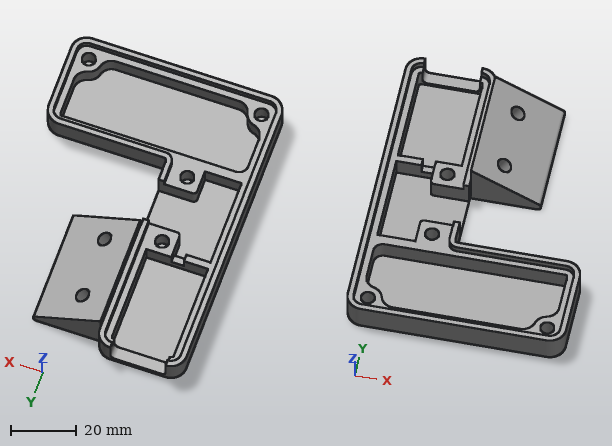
import cadquery as cq
import math

length = 96.3
foot_length = 68.0
arm_width = 28.0
foot_width = 30.5
tray_height = 10.0
corner_radius = 5.0
inner_corner_radius = 1.0
bottom_fillet = 2.0

rim_width = 1.8
ledge_z = 8.0
floor_z = 2.0
wall = 4.0
open_above = tray_height + 1.0

end_bottom_y = 60.5
end_corner_radius = 0.8
middle_top_y = 58.2
middle_bottom_y = 29.9
boss_left_x = 15.9
opening_top_y = 52.0
opening_bottom_y = 38.0
boss_corner_radius = 1.2

passage_left_x = 11.8
passage_z = 4.6

end_slot_width = 17.8
end_slot_z = 3.0
end_slot_fillet = 1.5

foot_pocket_top_y = 26.8
foot_pocket_left_radius = 3.0
foot_pocket_right_radius = 0.8
corner_boss_radius = 4.2
corner_boss_blend = 4.0

screw_diameter = 4.2
corner_screw_inset = 6.1
arm_screw_x = 20.3
arm_screw_ys = (33.5, 56.4)

wedge_height = 14.35
wedge_reach = 21.8
wedge_angle = 28.8
wedge_bottom_y = 54.7
wedge_top_y = 90.9
wedge_hole_diameter = 4.5
wedge_hole_x = 36.9
wedge_hole_ys = (62.2, 82.2)


def box(x0, x1, y0, y1, z0, z1):
    """Axis-aligned block between two opposite corners."""
    return cq.Workplane("XY").box(x1 - x0, y1 - y0, z1 - z0, centered=False).translate((x0, y0, z0))


def l_prism(inset, z0, z1):
    """L-shaped prism with its whole outline moved inward by the inset."""
    right = foot_length - inset
    top = length - inset
    arm_right = arm_width - inset
    foot_top = foot_width - inset
    mid_z = (z0 + z1) / 2
    prism = (
        cq.Workplane("XY", origin=(0, 0, z0))
        .polyline([
            (inset, inset), (right, inset), (right, foot_top),
            (arm_right, foot_top), (arm_right, top), (inset, top),
        ])
        .close()
        .extrude(z1 - z0)
    )
    outer_corners = [(inset, inset), (right, inset), (right, foot_top), (arm_right, top), (inset, top)]
    prism = fillet_uprights(prism, outer_corners, mid_z, corner_radius - inset)
    return fillet_uprights(prism, [(arm_right, foot_top)], mid_z, inner_corner_radius + inset)


def fillet_uprights(body, corners, mid_z, radius):
    """Round the vertical edges that stand at the given corners."""
    for x, y in corners:
        body = body.edges(cq.selectors.NearestToPointSelector((x, y, mid_z))).fillet(radius)
    return body


def tray_blank():
    """Solid L with a rounded underside and a recess that leaves the rim and ledge."""
    blank = l_prism(0, 0, tray_height).faces("<Z").edges().fillet(bottom_fillet)
    return blank.cut(l_prism(rim_width, ledge_z, open_above))


def end_pocket():
    """Pocket at the far end of the arm."""
    pocket = box(wall, arm_width - wall, end_bottom_y, length - wall, floor_z, open_above)
    return pocket.edges("|Z and >Y").fillet(end_corner_radius)


def middle_pocket():
    """Pocket in the middle of the arm, open to the side between two screw bosses."""
    mid_z = (floor_z + open_above) / 2
    main = box(wall, boss_left_x, middle_bottom_y, middle_top_y, floor_z, open_above)
    opening = box(wall, arm_width + 1, opening_bottom_y, opening_top_y, floor_z, open_above)
    boss_corners = [(boss_left_x, opening_bottom_y), (boss_left_x, opening_top_y)]
    return fillet_uprights(main.union(opening), boss_corners, mid_z, boss_corner_radius)


def wire_passage():
    """Notch in the wall between the two arm pockets."""
    return box(passage_left_x, boss_left_x, middle_top_y, end_bottom_y, passage_z, open_above)


def end_slot():
    """Slot with rounded bottom corners through the end wall of the arm."""
    left = (arm_width - end_slot_width) / 2
    slot = box(left, left + end_slot_width, length - wall, length + 1, end_slot_z, open_above)
    return slot.edges("|Y and <Z").fillet(end_slot_fillet)


def foot_pocket():
    """Pocket in the foot whose lower corners flow around the screw bosses."""
    right = foot_length - wall
    mid_z = (floor_z + open_above) / 2
    pocket = box(wall, right, wall, foot_pocket_top_y, floor_z, open_above)
    pocket = fillet_uprights(pocket, [(wall, foot_pocket_top_y)], mid_z, foot_pocket_left_radius)
    pocket = fillet_uprights(pocket, [(right, foot_pocket_top_y)], mid_z, foot_pocket_right_radius)
    offset = corner_screw_inset - wall
    crossing = corner_screw_inset + math.sqrt(corner_boss_radius**2 - offset**2)
    for x, side_x, foot_x in (
        (corner_screw_inset, wall, crossing),
        (foot_length - corner_screw_inset, right, foot_length - crossing),
    ):
        boss = (
            cq.Workplane("XY", origin=(0, 0, floor_z))
            .center(x, corner_screw_inset)
            .circle(corner_boss_radius)
            .extrude(open_above - floor_z)
        )
        corner = box(
            min(x, side_x), max(x, side_x), wall, corner_screw_inset, floor_z, open_above
        )
        pocket = pocket.cut(boss.union(corner))
        crossings = [(side_x, crossing), (foot_x, wall)]
        pocket = fillet_uprights(pocket, crossings, mid_z, corner_boss_blend)
    return pocket


def screw_holes():
    """Blind lid screw holes down to the floor level."""
    corner_xs = (corner_screw_inset, foot_length - corner_screw_inset)
    centers = [(x, corner_screw_inset) for x in corner_xs]
    centers += [(arm_screw_x, y) for y in arm_screw_ys]
    return (
        cq.Workplane("XY", origin=(0, 0, floor_z))
        .pushPoints(centers)
        .circle(screw_diameter / 2)
        .extrude(open_above - floor_z)
    )


def wedge():
    """Sloping block with a rounded tip and through holes square to its slope."""
    slope = math.radians(wedge_angle)
    apex_reach = wedge_height / math.tan(slope)
    tip_radius = (apex_reach - wedge_reach) / (1 / math.tan(slope / 2) - 1)
    body = (
        cq.Workplane("XZ", origin=(0, wedge_top_y, 0))
        .polyline([(arm_width, 0), (arm_width + apex_reach, 0), (arm_width, wedge_height)])
        .close()
        .extrude(wedge_top_y - wedge_bottom_y)
        .edges("|Y and >X")
        .fillet(tip_radius)
    )
    hole_z = wedge_height - (wedge_hole_x - arm_width) * math.tan(slope)
    normal = cq.Vector(math.sin(slope), 0, math.cos(slope))
    for y in wedge_hole_ys:
        start = cq.Vector(wedge_hole_x, y, hole_z) + normal * wedge_height
        hole = cq.Solid.makeCylinder(wedge_hole_diameter / 2, 3 * wedge_height, start, normal * -1)
        body = body.cut(cq.Workplane(hole))
    return body


def wedge_root():
    """Strip that fills the rounded lower edge of the arm beside the wedge."""
    return box(
        arm_width - bottom_fillet, arm_width, wedge_bottom_y, wedge_top_y, 0, bottom_fillet
    )


result = tray_blank()
for cutter in (
    end_pocket(), middle_pocket(), wire_passage(), end_slot(), foot_pocket(), screw_holes(),
):
    result = result.cut(cutter)
result = result.union(wedge_root()).union(wedge())